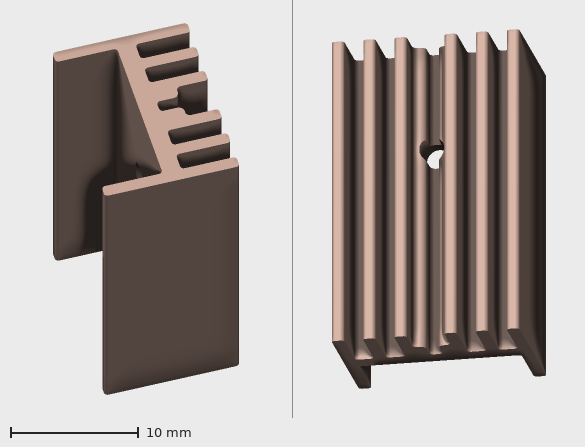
import cadquery as cq

width = 15.0
depth = 11.0
length = 25.0

wall = 1.0
fin_pitch = 2.5
fins_per_side = 3
fin_gap = fin_pitch - wall
fin_height = 4.5
web = 1.5
shelf_depth = 2.62
groove_width = 1.0

tip_radius = 0.3
floor_radius = 0.3
shelf_inner_radius = 0.38
shelf_outer_radius = 0.5
front_corner_radius = 0.3

hole_diameter = 2.0
hole_z = 16.5
hole_chamfer = 0.28

back_y = depth / 2
floor_y = back_y - fin_height
web_front_y = floor_y - web
shelf_y = back_y - shelf_depth
channel_width = width - 2 * wall
shelf_width = 2 * fin_gap


def slot(x_center, slot_width, y_low, y_high):
    """Full-length rectangular cutter between two Y levels."""
    return (
        cq.Workplane("XY")
        .center(x_center, (y_low + y_high) / 2)
        .rect(slot_width, y_high - y_low)
        .extrude(length)
    )


def round_edges(body, x_places, y, radius):
    """Round the lengthwise edges at each X place and its mirror image."""
    edges = cq.Workplane("XY").newObject([])
    for x in x_places:
        for side in (-1, 1):
            edge = body.edges(cq.selectors.NearestToPointSelector((side * x, y, length / 2)))
            edges = edges.add(edge)
    return body.newObject(edges.vals()).fillet(radius)


body = cq.Workplane("XY").rect(width, depth).extrude(length)
body = body.cut(slot(0, channel_width, -back_y, web_front_y))
fin_outer_faces = [width / 2 - i * fin_pitch for i in range(fins_per_side)]
gap_outer_sides = [face - wall for face in fin_outer_faces[:-1]]
for gap_side in gap_outer_sides:
    for side in (-1, 1):
        body = body.cut(slot(side * (gap_side - fin_gap / 2), fin_gap, floor_y, back_y))
body = body.cut(slot(0, shelf_width, shelf_y, back_y))
body = body.cut(slot(0, groove_width, floor_y, shelf_y))

fin_sides = fin_outer_faces + [face - wall for face in fin_outer_faces]
gap_sides = gap_outer_sides + [gap_side - fin_gap for gap_side in gap_outer_sides]
body = round_edges(body, fin_sides, back_y, tip_radius)
body = round_edges(body, [width / 2, channel_width / 2], -back_y, tip_radius)
body = round_edges(body, gap_sides + [groove_width / 2], floor_y, floor_radius)
body = round_edges(body, [shelf_width / 2], shelf_y, shelf_inner_radius)
body = round_edges(body, [groove_width / 2], shelf_y, shelf_outer_radius)
body = round_edges(body, [channel_width / 2], web_front_y, front_corner_radius)

hole_radius = hole_diameter / 2
hole_plane = cq.Plane(origin=(0, web_front_y, hole_z), xDir=(1, 0, 0), normal=(0, 1, 0))
hole = cq.Workplane(hole_plane).circle(hole_radius).extrude(back_y - web_front_y)
countersink = cq.Workplane(
    cq.Solid.makeCone(
        hole_radius + hole_chamfer,
        hole_radius,
        hole_chamfer,
        pnt=hole_plane.origin,
        dir=hole_plane.zDir,
    )
)

result = body.cut(hole).cut(countersink)